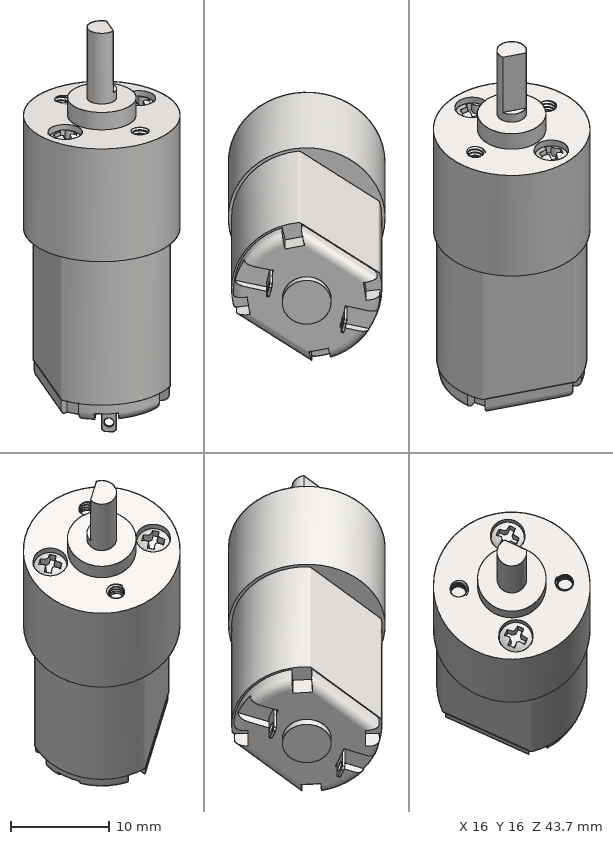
import cadquery as cq
import math

OVERALL_LENGTH = 43.7
HALF_TURN = 180.0
HALF_TURNS = (0.0, HALF_TURN)

GEARBOX_DIAMETER = 16.0
GEARBOX_HEIGHT = 12.75
COVER_THICKNESS = 1.45
COLLAR_DIAMETER = 7.0
COLLAR_HEIGHT = 1.95
SHAFT_DIAMETER = 3.0
SHAFT_LENGTH = 8.0
SHAFT_FLAT_OFFSET = 0.87
SHAFT_FLAT_LENGTH = 7.0

BOLT_CIRCLE_RADIUS = 5.45
SCREW_ANGLE = 120.0
SCREW_POCKET_DIAMETER = 3.5
SCREW_POCKET_DEPTH = 1.3
SCREW_HEAD_DIAMETER = 3.4
SCREW_DOME_HEIGHT = 0.65
SCREW_HEAD_SINK = 0.05
CROSS_LENGTH = 2.3
CROSS_ARM_WIDTH = 0.75
CROSS_CORNER_CHAMFER = 0.17
CROSS_DEPTH = 1.05
CROSS_TAPER = 6.0
THREAD_ANGLE = 30.0
THREAD_MINOR_DIAMETER = 1.6
THREAD_MAJOR_DIAMETER = 2.05
THREAD_PITCH = 0.4
THREAD_START_ANGLE = 180.0
THREAD_GROOVE_WIDTH = 0.35
THREAD_OVERLAP = 0.05

CAN_DIAMETER = 15.35
CAN_FLAT_WIDTH = 11.65
CAN_LENGTH = 16.4
CAN_CORNER_RADIUS = 0.5
CAP_DIAMETER = 14.95
CAP_FLAT_WIDTH = 11.55
CAP_HEIGHT = 2.1
CAP_EDGE_RADIUS = 1.0
CORNER_NOTCH_FLOOR = 6.0
CORNER_NOTCH_WIDTH = 2.0
CORNER_NOTCH_ANGLE = 43.0
BEARING_BOSS_DIAMETER = 5.0
BEARING_BOSS_HEIGHT = 0.85

TERMINAL_X = 4.3
TERMINAL_Y = 0.52
TERMINAL_ANGLE = 22.0
TERMINAL_WIDTH = 1.5
TERMINAL_THICKNESS = 0.25
TERMINAL_CHAMFER = 0.25
TERMINAL_HOLE_DIAMETER = 1.0
TERMINAL_HOLE_RISE = 1.05
TERMINAL_RECESS_WIDTH = 2.45

COLLAR_TOP = GEARBOX_HEIGHT + COLLAR_HEIGHT
SHAFT_TOP = COLLAR_TOP + SHAFT_LENGTH
CAN_BOTTOM = -CAN_LENGTH
CAP_BOTTOM = CAN_BOTTOM - CAP_HEIGHT
RECESS_TOP = CAP_BOTTOM + CAP_EDGE_RADIUS
TERMINAL_TIP = SHAFT_TOP - OVERALL_LENGTH


def cylinder(diameter, bottom, height):
    return cq.Workplane("XY", origin=(0, 0, bottom)).circle(diameter / 2).extrude(height)


def turn(shape, angle):
    """Turn a shape about the Z axis."""
    return shape.rotate((0, 0, 0), (0, 0, 1), angle)


def place_on_bolt_circle(shape, angle):
    """Move a shape out to the bolt circle along +X, then turn it to the given angle."""
    return turn(shape.translate((BOLT_CIRCLE_RADIUS, 0, 0)), angle)


def output_shaft():
    shaft = cylinder(SHAFT_DIAMETER, COLLAR_TOP, SHAFT_LENGTH)
    flat_cut = cq.Workplane("XY").box(
        SHAFT_DIAMETER, SHAFT_DIAMETER, SHAFT_FLAT_LENGTH, centered=(True, False, False)
    )
    return shaft.cut(flat_cut.translate((0, SHAFT_FLAT_OFFSET, SHAFT_TOP - SHAFT_FLAT_LENGTH)))


def screw_head():
    """Domed screw head with a cross recess, centred on the Z axis."""
    dome_top = GEARBOX_HEIGHT - SCREW_HEAD_SINK
    rim_level = dome_top - SCREW_DOME_HEIGHT
    pocket_floor = GEARBOX_HEIGHT - SCREW_POCKET_DEPTH
    rim = SCREW_HEAD_DIAMETER / 2
    dome_radius = (rim**2 + SCREW_DOME_HEIGHT**2) / (2 * SCREW_DOME_HEIGHT)
    half_angle = math.asin(rim / dome_radius) / 2
    arc_middle = (
        dome_radius * math.sin(half_angle),
        dome_top - dome_radius * (1 - math.cos(half_angle)),
    )
    head = (
        cq.Workplane("XZ")
        .moveTo(0, pocket_floor)
        .lineTo(rim, pocket_floor)
        .lineTo(rim, rim_level)
        .threePointArc(arc_middle, (0, dome_top))
        .close()
        .revolve()
    )
    return head.cut(cross_recess(dome_top))


def cross_recess(top):
    """Tapered cross whose four inner corners are chamfered."""
    tip = CROSS_LENGTH / 2
    arm = CROSS_ARM_WIDTH / 2
    root = arm + CROSS_CORNER_CHAMFER
    outline = []
    for along_x, along_y in ((1, 0), (0, 1), (-1, 0), (0, -1)):
        for reach, side in ((root, -arm), (tip, -arm), (tip, arm), (root, arm)):
            outline.append((reach * along_x - side * along_y, reach * along_y + side * along_x))
    return (
        cq.Workplane("XY", origin=(0, 0, top))
        .polyline(outline)
        .close()
        .extrude(-CROSS_DEPTH, taper=CROSS_TAPER)
    )


def threaded_hole():
    """Material removed by a blind tapped hole through the thickness of the cover."""
    hole_floor = GEARBOX_HEIGHT - COVER_THICKNESS
    minor = THREAD_MINOR_DIAMETER / 2
    major = THREAD_MAJOR_DIAMETER / 2
    bore = cylinder(THREAD_MINOR_DIAMETER, hole_floor, COVER_THICKNESS)
    inner_edge = minor - THREAD_OVERLAP
    start = hole_floor + THREAD_PITCH / 2
    helix = cq.Wire.makeHelix(THREAD_PITCH, COVER_THICKNESS, minor, center=cq.Vector(0, 0, start))
    half = THREAD_GROOVE_WIDTH / 2
    groove = (
        cq.Workplane("XZ")
        .polyline([(inner_edge, start - half), (major, start), (inner_edge, start + half)])
        .close()
        .sweep(cq.Workplane(helix), isFrenet=True)
    )
    return turn(bore.union(groove), THREAD_START_ANGLE)


def make_gearbox():
    gearbox = (
        cylinder(GEARBOX_DIAMETER, 0, GEARBOX_HEIGHT)
        .union(cylinder(COLLAR_DIAMETER, GEARBOX_HEIGHT, COLLAR_HEIGHT))
        .union(output_shaft())
    )
    pocket = cylinder(SCREW_POCKET_DIAMETER, GEARBOX_HEIGHT - SCREW_POCKET_DEPTH, SCREW_POCKET_DEPTH)
    for half_turn in HALF_TURNS:
        screw_angle = SCREW_ANGLE + half_turn
        gearbox = gearbox.cut(place_on_bolt_circle(pocket, screw_angle))
        head = turn(screw_head(), -screw_angle)
        gearbox = gearbox.union(place_on_bolt_circle(head, screw_angle))
        gearbox = gearbox.cut(place_on_bolt_circle(threaded_hole(), THREAD_ANGLE + half_turn))
    return gearbox


def flat_sided_cylinder(diameter, flat_width, bottom, height):
    """Cylinder cut by two flats that face -Y and +Y."""
    slab = cq.Workplane("XY", origin=(0, 0, bottom)).rect(diameter, flat_width).extrude(height)
    return cylinder(diameter, bottom, height).intersect(slab)


def corner_notches():
    """Cutters for the straight-sided notches at the four corners of the cap."""
    notch = (
        cq.Workplane("XY")
        .box(CAP_DIAMETER, CORNER_NOTCH_WIDTH, CAP_HEIGHT, centered=(False, True, False))
        .translate((CORNER_NOTCH_FLOOR, 0, CAP_BOTTOM))
    )
    angles = (
        CORNER_NOTCH_ANGLE,
        HALF_TURN - CORNER_NOTCH_ANGLE,
        HALF_TURN + CORNER_NOTCH_ANGLE,
        -CORNER_NOTCH_ANGLE,
    )
    return [turn(notch, angle) for angle in angles]


def place_terminal_feature(shape, half_turn):
    """Turn a shape built around the Z axis, facing -X, and place it at one of the terminals."""
    return turn(turn(shape, -TERMINAL_ANGLE).translate((-TERMINAL_X, TERMINAL_Y, 0)), half_turn)


def terminal():
    blade = (
        cq.Workplane("XY", origin=(0, 0, TERMINAL_TIP))
        .rect(TERMINAL_THICKNESS, TERMINAL_WIDTH)
        .extrude(RECESS_TOP - TERMINAL_TIP)
        .edges("|X and <Z")
        .chamfer(TERMINAL_CHAMFER)
    )
    eye = (
        cq.Workplane("YZ")
        .center(0, TERMINAL_TIP + TERMINAL_HOLE_RISE)
        .circle(TERMINAL_HOLE_DIAMETER / 2)
        .extrude(TERMINAL_THICKNESS, both=True)
    )
    return blade.cut(eye)


def terminal_recess():
    """Cutter from the back of a terminal out through the rim of the cap."""
    return (
        cq.Workplane("XY")
        .box(CAP_DIAMETER / 2, TERMINAL_RECESS_WIDTH, CAP_EDGE_RADIUS, centered=(False, True, False))
        .translate((TERMINAL_THICKNESS / 2 - CAP_DIAMETER / 2, 0, CAP_BOTTOM))
    )


def make_motor():
    can = flat_sided_cylinder(CAN_DIAMETER, CAN_FLAT_WIDTH, CAN_BOTTOM, CAN_LENGTH)
    can = can.edges("|Z").fillet(CAN_CORNER_RADIUS)
    cap = flat_sided_cylinder(CAP_DIAMETER, CAP_FLAT_WIDTH, CAP_BOTTOM, CAP_HEIGHT)
    cap = cap.faces("<Z").edges().fillet(CAP_EDGE_RADIUS)
    for notch in corner_notches():
        cap = cap.cut(notch)
    boss = cylinder(BEARING_BOSS_DIAMETER, CAP_BOTTOM - BEARING_BOSS_HEIGHT, BEARING_BOSS_HEIGHT)
    motor = can.union(cap).union(boss)
    for half_turn in HALF_TURNS:
        motor = motor.cut(place_terminal_feature(terminal_recess(), half_turn))
        motor = motor.union(place_terminal_feature(terminal(), half_turn))
    return motor


gearbox = make_gearbox()
motor = make_motor()
result = cq.Compound.makeCompound([gearbox.solids().val(), motor.solids().val()])